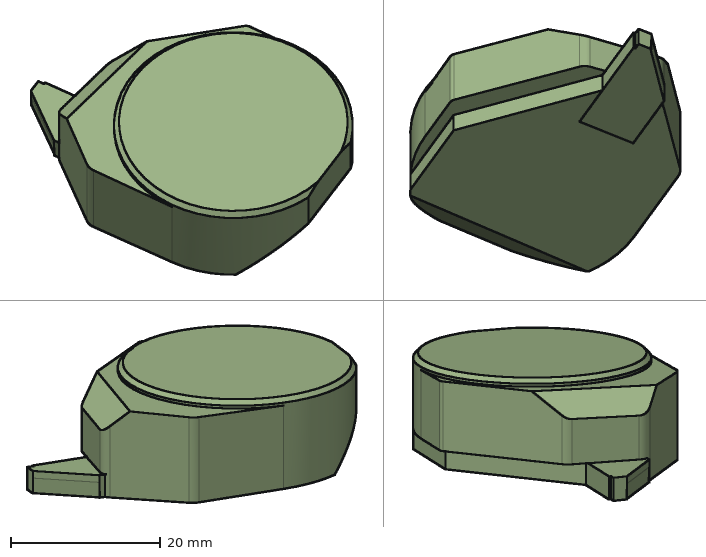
import cadquery as cq
import math

head_diameter = 32.0
head_radius = head_diameter / 2
total_height = 14.0
rim_chamfer = 0.7
shoulder_height = total_height - 1.1
overall_length = 45.55
rear_flat_x = 15.05
tip_x = rear_flat_x - overall_length

nose_front = (-22.9, -7.7)
nose_back = (-21.35, 3.3)
front_shoulder_x = -13.05
back_shoulder_x = -7.4
corner_radius = 2.0
back_shoulder_radius = 1.0
nose_chamfer = 3.33

rise_along_x = 0.022
drop_along_y = 0.025

bevel_top_z = 7.75

insert_thickness = 3.2
land_depth = 0.95
flank_relief = 0.15
tip_back_y = 0.1
tip_step_x = tip_x + 0.9
insert_back_y = 0.35
insert_front_y = -7.85
insert_end_x = -14.58
flank_start_y = -1.85
flank_end_x = -23.3

ledge_start_x = -20.95
ledge_end_x = -5.25
ledge_back_y = 14.5

reach = 91.1
cut_margin = 0.45


def prism(points):
    """Upright prism through both sides of Z = 0."""
    return cq.Workplane("XY").polyline(points).close().extrude(reach / 2, both=True)


def sloped_layer(bottom, thickness):
    """Large layer parallel to the underside, starting at a height above it."""
    origin = (tip_x, tip_back_y, bottom)
    normal = (-rise_along_x, drop_along_y, 1)
    plane = cq.Plane(origin, (1, 0, rise_along_x), normal)
    return cq.Workplane(plane).rect(2 * reach, 2 * reach).extrude(thickness)


def make_insert_blank():
    """Insert with square flanks, which is also the shape of its pocket."""
    points = [
        (tip_x, tip_back_y), (tip_step_x, tip_back_y), (tip_step_x, insert_back_y),
        (insert_end_x, insert_back_y), (insert_end_x, insert_front_y),
        (flank_end_x, insert_front_y), (tip_x, flank_start_y),
    ]
    return prism(points).intersect(sloped_layer(0, insert_thickness))


def make_insert():
    """Insert with an upright land over a relieved cutting flank."""
    flank_x = flank_end_x - tip_x
    flank_y = insert_front_y - flank_start_y
    flank_length = math.hypot(flank_x, flank_y)
    relief_height = insert_thickness - land_depth
    plane = cq.Plane((tip_x, flank_start_y, 0), (-flank_y, flank_x, 0), (flank_x, flank_y, 0))
    rise = rise_along_x * flank_x - drop_along_y * flank_y

    def relief_section(base_z):
        land_z = base_z + relief_height
        bottom_z = base_z - cut_margin
        return [(0, land_z), (flank_relief, bottom_z), (-cut_margin, bottom_z), (-cut_margin, land_z)]

    relief = (cq.Workplane(plane).polyline(relief_section(0)).close()
              .workplane(offset=flank_length).polyline(relief_section(rise)).close().loft(ruled=True))
    return make_insert_blank().cut(relief)


def make_holder_blank():
    """Tapered nose with rounded corners, joined to the round head."""
    back_shoulder = (back_shoulder_x, head_radius)
    front_shoulder = (front_shoulder_x, -head_radius)
    outline = [(0, -head_radius), (0, head_radius), back_shoulder, nose_back, nose_front, front_shoulder]
    nose = cq.Workplane("XY").polyline(outline).close().extrude(shoulder_height)
    corners = [
        (nose_back, corner_radius), (nose_front, corner_radius),
        (front_shoulder, corner_radius), (back_shoulder, back_shoulder_radius),
    ]
    for (x, y), radius in corners:
        nose = nose.edges(cq.selectors.NearestToPointSelector((x, y, shoulder_height / 2))).fillet(radius)
    head = cq.Workplane("XY").circle(head_radius).extrude(total_height).faces(">Z").chamfer(rim_chamfer)
    return nose.union(head)


def make_nose_chamfer():
    """45 degree wedge along the top of the nose face."""
    edge_x = nose_back[0] - nose_front[0]
    edge_y = nose_back[1] - nose_front[1]
    plane = cq.Plane((*nose_front, shoulder_height), (edge_y, -edge_x, 0), (-edge_x, -edge_y, 0))
    return (cq.Workplane(plane)
            .polyline([(-nose_chamfer, -2 * nose_chamfer), (nose_chamfer, 0), (-nose_chamfer, 0)]).close()
            .extrude(reach / 2, both=True))


def make_rear_cut():
    """Flat at the rear, with a bevel below it."""
    return (cq.Workplane("XZ")
            .polyline([(rear_flat_x, reach), (rear_flat_x, bevel_top_z),
                       (rear_flat_x - reach, bevel_top_z - reach), (reach, bevel_top_z - reach), (reach, reach)])
            .close().extrude(reach, both=True))


def make_ledge():
    """Cut from the underside that leaves a ledge beside the insert."""
    points = [
        (-reach, insert_back_y), (ledge_start_x, insert_back_y), (ledge_end_x, ledge_back_y),
        (reach, ledge_back_y), (reach, reach), (-reach, reach),
    ]
    return prism(points).intersect(sloped_layer(-reach / 4, reach / 4 + insert_thickness))


holder = make_holder_blank()
holder = holder.cut(make_nose_chamfer())
holder = holder.cut(make_rear_cut())
holder = holder.cut(sloped_layer(0, -reach / 2))
holder = holder.cut(make_ledge())
holder = holder.cut(make_insert_blank())
insert = make_insert()

result = cq.Compound.makeCompound([holder.solids().val(), insert.solids().val()])